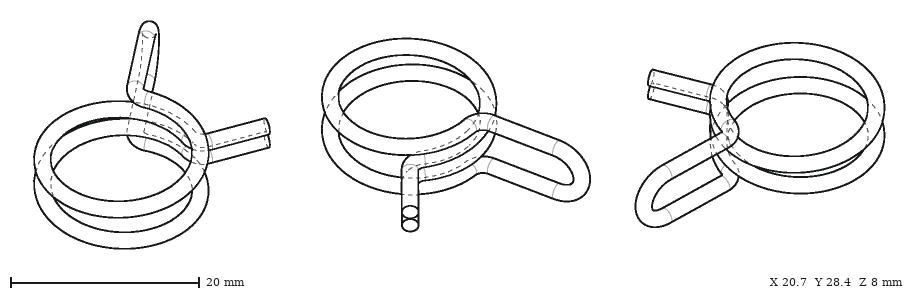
import cadquery as cq
import math

wire_diameter = 1.8
coil_radius = 8.4
bend_radius = 1.8
overall_length = 28.45
overall_height = 8.0
tail_spacing = 1.9
tail_reach = 16.62
loop_angle = 120.0
tail_angle = 60.0

wire_radius = wire_diameter / 2
loop_level = overall_height / 2 - wire_radius
tail_level = tail_spacing / 2

loop_radius = loop_level
loop_tip_y = overall_length - coil_radius - wire_diameter
loop_start = loop_tip_y / math.sin(math.radians(loop_angle)) - loop_radius

bend_center_radius = coil_radius + bend_radius
bend_offset_angle = math.degrees(math.asin(bend_radius / bend_center_radius))
bend_sweep_angle = 90 - bend_offset_angle
arm_start = bend_center_radius * math.cos(math.radians(bend_offset_angle))

coil_start_angle = loop_angle - bend_offset_angle
coil_end_angle = tail_angle + bend_offset_angle
coil_turn_angle = 360 + coil_start_angle - coil_end_angle


def polar(radius, angle, z=0):
    """Point at a radius and an angle in degrees around the coil axis."""
    angle_rad = math.radians(angle)
    return cq.Vector(radius * math.cos(angle_rad), radius * math.sin(angle_rad), z)


def bent_wire(start, middle, end, start_direction):
    """Wire along the arc through three points, leaving the start along start_direction."""
    path = cq.Workplane("XY").add(cq.Edge.makeThreePointArc(start, middle, end))
    section = cq.Workplane(cq.Plane(origin=start, normal=start_direction)).circle(wire_radius)
    return section.sweep(path)


def straight_arm(angle, level, end_radius):
    """Radial wire from the end of the bend out to end_radius."""
    section = cq.Workplane(cq.Plane(origin=polar(arm_start, angle, level), normal=polar(1, angle)))
    return section.circle(wire_radius).extrude(end_radius - arm_start)


def arm_bend(angle, level, coil_side):
    """Bend from an arm into the coil; coil_side is -1 (clockwise) or 1 (anticlockwise) of the arm."""
    coil_end = angle + coil_side * bend_offset_angle
    center = polar(bend_center_radius, coil_end, level)
    middle_angle = angle - coil_side * (90 + bend_sweep_angle / 2)
    return bent_wire(
        polar(arm_start, angle, level),
        center + polar(bend_radius, middle_angle),
        polar(coil_radius, coil_end, level),
        polar(-1, angle),
    )


def upper_coil():
    """Helical wire rising from the tail bend to the loop bend."""
    rise = loop_level - tail_level
    pitch = rise * 360 / coil_turn_angle
    path = cq.Workplane("XY").add(cq.Wire.makeHelix(pitch, rise, coil_radius))
    section = cq.Workplane("XZ").center(coil_radius, 0).circle(wire_radius)
    coil = section.sweep(path, isFrenet=True)
    return coil.rotate((0, 0, 0), (0, 0, 1), coil_end_angle).translate((0, 0, tail_level))


def end_loop():
    """Upright half ring that joins the upper and lower loop arms."""
    return bent_wire(
        polar(loop_start, loop_angle, loop_level),
        polar(loop_start + loop_radius, loop_angle),
        polar(loop_start, loop_angle, -loop_level),
        polar(1, loop_angle),
    )


upper_half = (
    upper_coil()
    .union(arm_bend(loop_angle, loop_level, -1))
    .union(straight_arm(loop_angle, loop_level, loop_start))
    .union(arm_bend(tail_angle, tail_level, 1))
    .union(straight_arm(tail_angle, tail_level, tail_reach))
)
lower_half = upper_half.mirror("XY")

result = upper_half.union(end_loop()).union(lower_half)